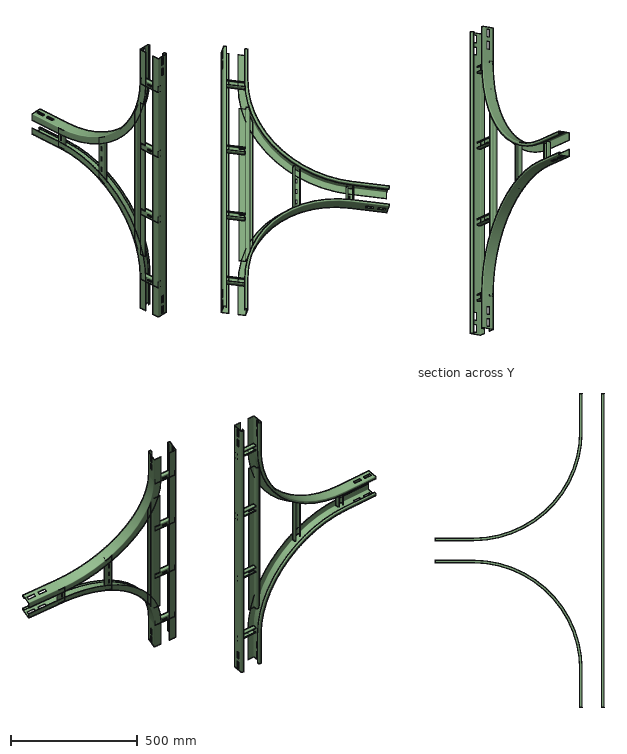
import cadquery as cq
import math

TOTAL_HEIGHT = 1240.0
DEPTH = 50.0
RUN_WIDTH = 99.0
STRAIGHT_LENGTH = 150.0
BEND_RADIUS = (TOTAL_HEIGHT - RUN_WIDTH) / 2 - STRAIGHT_LENGTH

SHEET = 1.5
INNER_BEND = 1.5
MID_BEND = INNER_BEND + SHEET / 2
FOLD = INNER_BEND + SHEET

RAIL_FLANGE = 31.0
RAIL_LIP = 12.0
RAIL_RETURN = 11.0

RAIL_SLOT_LENGTH = 31.0
RAIL_SLOT_WIDTH = 11.0
RAIL_SLOT_OFFSET = 25.0
SLOT_PITCH = 50.0
RAIL_SLOT_COUNT = 2

RUNG_WIDTH = 30.0
RUNG_HEIGHT = 17.0
RUNG_END_GAP = 5.0
BRANCH_RUNG_X = -184.0
OUTER_RUNG_Z = 469.0
MIDDLE_RUNG_Z = 157.0
RUNG_LIP = 6.0
RUNG_SLOT_LENGTH = 19.0
RUNG_SLOT_WIDTH = 5.0
SHORT_RUNG_SLOTS = 1
THROAT_RUNG_SLOTS = 3
THROAT_RUNG_X = 31.0

GIRDER_HALF_LENGTH = 363.0
GIRDER_FLANGE = 27.0
GIRDER_GROOVE = 14.0
GIRDER_SHELF = 15.0

TOTAL_WIDTH = STRAIGHT_LENGTH + BEND_RADIUS + RUN_WIDTH
X_END = TOTAL_WIDTH / 2
X_BRANCH = X_END - RUN_WIDTH
X_TANGENT = -X_END + STRAIGHT_LENGTH
Z_TANGENT = TOTAL_HEIGHT / 2 - STRAIGHT_LENGTH
HALF_RUN = RUN_WIDTH / 2
HALF_DEPTH = DEPTH / 2
Y_SEAT = -HALF_DEPTH + SHEET
RUNG_LENGTH = RUN_WIDTH - 2 * RUNG_END_GAP


def bent_sheet(plane, spine):
    """Closed outline of a sheet folded at right angles along the points of its mid-line."""
    points = [cq.Vector(x, y) for x, y in spine]
    runs = [(b - a).normalized() for a, b in zip(points, points[1:])]
    lefts = [cq.Vector(-run.y, run.x) for run in runs]

    def side(sign):
        offset = sign * SHEET / 2
        steps = [(points[0] + lefts[0] * offset,)]
        for i in range(1, len(points) - 1):
            before, after = runs[i - 1], runs[i]
            turn = before.cross(after).z
            centre = points[i] + (after - before) * MID_BEND
            start = points[i] - before * MID_BEND + lefts[i - 1] * offset
            end = points[i] + after * MID_BEND + lefts[i] * offset
            middle = centre - (after - before).normalized() * (MID_BEND - turn * offset)
            steps.append((start, middle, end))
        steps.append((points[-1] + lefts[-1] * offset,))
        return steps

    there = side(1)
    back = [step[::-1] for step in side(-1)[::-1]]
    outline = cq.Workplane(plane).moveTo(*there[0][0].toTuple()[:2])
    for step in there[1:] + back:
        outline = outline.lineTo(*step[0].toTuple()[:2])
        if len(step) == 3:
            outline = outline.threePointArc(step[1].toTuple()[:2], step[2].toTuple()[:2])
    return outline.close()


def rail_section(plane):
    """Rail section: x runs inward from the outer web face, y along Y."""
    half = SHEET / 2
    front = -HALF_DEPTH + half
    rear = HALF_DEPTH - half
    return bent_sheet(plane, [
        (RAIL_FLANGE, front),
        (half, front),
        (half, rear),
        (RAIL_LIP - half, rear),
        (RAIL_LIP - half, HALF_DEPTH - RAIL_RETURN),
    ])


def upright_slots(x, z_end, inward):
    """Cutters for the two slots through an upright web near the rail end at z_end."""
    centres = [(0, z_end + inward * (RAIL_SLOT_OFFSET + i * SLOT_PITCH)) for i in range(RAIL_SLOT_COUNT)]
    return (
        cq.Workplane("YZ", origin=(x, 0, 0))
        .pushPoints(centres)
        .rect(RAIL_SLOT_WIDTH, RAIL_SLOT_LENGTH)
        .extrude(FOLD, both=True)
    )


def straight_rail():
    """Full-height rail opening toward the branch, slotted at both ends."""
    plane = cq.Plane(origin=(X_END, 0, TOTAL_HEIGHT / 2), xDir=(-1, 0, 0), normal=(0, 0, -1))
    rail = rail_section(plane).extrude(TOTAL_HEIGHT)
    for end in (1, -1):
        rail = rail.cut(upright_slots(X_END, end * TOTAL_HEIGHT / 2, -end))
    return rail


def curved_rail():
    """Upper curved rail: along the branch, round the bend and up beside the straight rail."""
    diagonal = BEND_RADIUS * math.sqrt(0.5)
    path = (
        cq.Workplane("XZ")
        .moveTo(-X_END, HALF_RUN)
        .lineTo(X_TANGENT, HALF_RUN)
        .threePointArc((X_TANGENT + diagonal, Z_TANGENT - diagonal), (X_BRANCH, Z_TANGENT))
        .lineTo(X_BRANCH, TOTAL_HEIGHT / 2)
    )
    plane = cq.Plane(origin=(-X_END, 0, HALF_RUN), xDir=(0, 0, -1), normal=(1, 0, 0))
    rail = rail_section(plane).sweep(path, clean=False)
    branch_slots = (
        cq.Workplane("XY", origin=(0, 0, HALF_RUN))
        .pushPoints([(-X_END + RAIL_SLOT_OFFSET + i * SLOT_PITCH, 0) for i in range(RAIL_SLOT_COUNT)])
        .rect(RAIL_SLOT_LENGTH, RAIL_SLOT_WIDTH)
        .extrude(FOLD, both=True)
    )
    upright_end_slots = upright_slots(X_BRANCH, TOTAL_HEIGHT / 2, -1)
    return rail.cut(branch_slots, clean=False).cut(upright_end_slots, clean=False)


def rung(length, slot_count):
    """Lipped channel along Z, centred on the origin, its slotted face on Y = 0."""
    half = SHEET / 2
    side = RUNG_WIDTH / 2 - half
    rear = RUNG_HEIGHT - half
    lip = RUNG_WIDTH / 2 - RUNG_LIP
    body = bent_sheet(cq.Plane.XY(origin=(0, 0, -length / 2)), [
        (-lip, rear),
        (-side, rear),
        (-side, half),
        (side, half),
        (side, rear),
        (lip, rear),
    ]).extrude(length)
    slots = (
        cq.Workplane("XZ")
        .rarray(12, SLOT_PITCH, 1, slot_count)
        .rect(RUNG_SLOT_WIDTH, RUNG_SLOT_LENGTH)
        .extrude(SHEET, both=True)
    )
    return body.cut(slots)


def bend_clearance():
    """Cylinders that hold the curved webs and their folds, to trim what ends against them."""
    clearance = cq.Workplane("XY")
    for side in (1, -1):
        clearance = clearance.union(
            cq.Workplane("XZ")
            .center(X_TANGENT, side * Z_TANGENT)
            .circle(BEND_RADIUS + RUNG_END_GAP)
            .extrude(HALF_DEPTH, both=True)
        )
    return clearance


def girder_section(plane):
    """Flange and shelf at the front, joined by a groove that opens to the front."""
    half = SHEET / 2
    front = Y_SEAT + half
    rear = Y_SEAT + RUNG_HEIGHT - half
    wall = X_BRANCH + half
    shelf = X_BRANCH - GIRDER_GROOVE - half
    edge = X_BRANCH - GIRDER_GROOVE - GIRDER_SHELF
    return bent_sheet(plane, [
        (X_BRANCH + GIRDER_FLANGE, front),
        (wall, front),
        (wall, rear),
        (shelf, rear),
        (shelf, front),
        (edge, front),
    ])


straight = straight_rail()
upper_curve = curved_rail()
curves = [upper_curve, upper_curve.mirror("XY")]

clearance = bend_clearance()
branch_rung = rung(RUNG_LENGTH, SHORT_RUNG_SLOTS).translate((BRANCH_RUNG_X, Y_SEAT, 0))
throat_rung = rung(2 * Z_TANGENT, THROAT_RUNG_SLOTS).translate((THROAT_RUNG_X, Y_SEAT, 0)).cut(clearance)

run_rung = rung(RUNG_LENGTH, SHORT_RUNG_SLOTS).rotate((0, 0, 0), (0, 1, 0), 90)
run_rungs = []
for z in (OUTER_RUNG_Z, MIDDLE_RUNG_Z, -MIDDLE_RUNG_Z, -OUTER_RUNG_Z):
    run_rungs.append(run_rung.translate(((X_BRANCH + X_END) / 2, Y_SEAT, z)))

girder_base = cq.Plane.XY(origin=(0, 0, -GIRDER_HALF_LENGTH))
girder = girder_section(girder_base).extrude(2 * GIRDER_HALF_LENGTH).cut(clearance)
for middle_rung in run_rungs[1:3]:
    girder = girder.cut(middle_rung)

bodies = [straight, *curves, branch_rung, throat_rung, girder, *run_rungs]
result = cq.Compound.makeCompound([solid for body in bodies for solid in body.vals()])